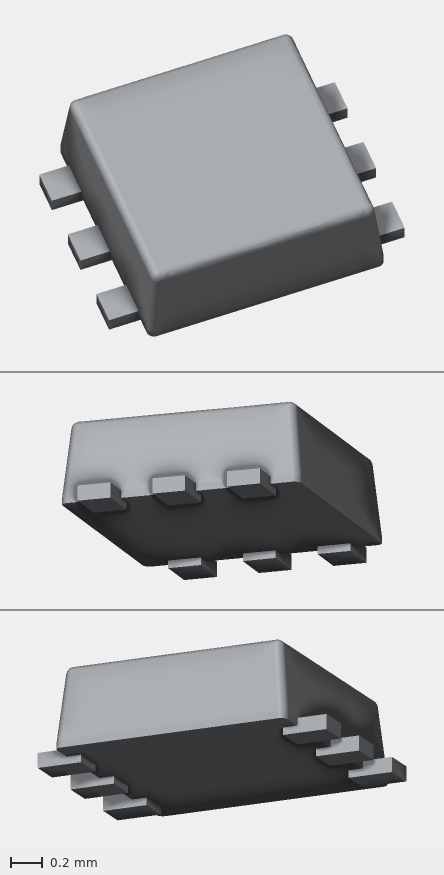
import cadquery as cq

overall_length = 2.0
overall_height = 0.6

body_side = 1.6
body_top_side = 1.5
edge_radius = 0.05

lead_width = 0.22
lead_length = 0.3
lead_thickness = 0.1
lead_pitch = 0.5
leads_per_side = 3

body_bottom = lead_thickness / 2
taper_start = lead_thickness


def make_body():
    band_height = taper_start - body_bottom
    sharp_body = (
        cq.Workplane("XY", origin=(0, 0, body_bottom))
        .rect(body_side, body_side)
        .extrude(band_height)
        .faces(">Z")
        .wires()
        .toPending()
        .workplane(offset=overall_height - taper_start)
        .rect(body_top_side, body_top_side)
        .loft(combine=True)
    )
    return (
        sharp_body
        .edges("not #Z")
        .fillet(edge_radius)
        .faces(">Z")
        .edges()
        .fillet(edge_radius)
    )


def make_leads():
    row_spacing = overall_length - lead_length
    return (
        cq.Workplane("XY")
        .rarray(lead_pitch, row_spacing, leads_per_side, 2)
        .rect(lead_width, lead_length)
        .extrude(lead_thickness)
    )


result = make_body().union(make_leads())